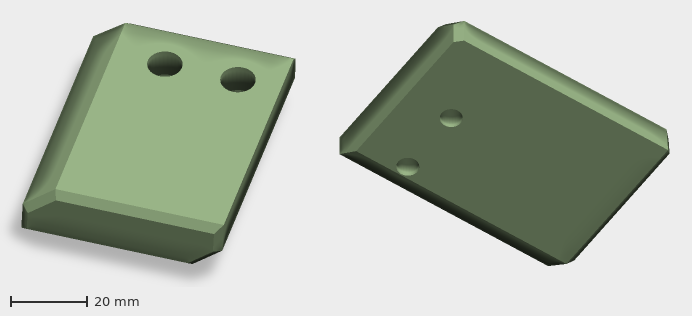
import cadquery as cq
import math

length_x = 55.3
length_y = 69.1
height = 16.5
draft_angle = 2.0
draft_slope = math.tan(math.radians(draft_angle))

left_bevel_z = 8.7
left_bevel_x = 9.2
right_bevel_z = 7.1
right_bevel_x = 46.9

edge_chamfer = 2.0

hole_count = 2
first_hole_x = 23.5
hole_spacing = 20.0
hole_from_back = 14.15
counterbore_diameter = 9.3
counterbore_depth = 8.3
bore_diameter = 6.6

front_y = -draft_slope * edge_chamfer


def bevelled_bar():
    """Bar whose end faces both lean to +X as they rise, with two opposite corners cut."""
    points = [
        (0, 0),
        (right_bevel_x, 0),
        (length_x - draft_slope * (height - right_bevel_z), right_bevel_z),
        (length_x, height),
        (left_bevel_x, height),
        (draft_slope * left_bevel_z, left_bevel_z),
    ]
    profile = cq.Workplane("XZ", origin=(0, front_y, 0)).polyline(points).close()
    return profile.extrude(front_y - length_y)


def depth_envelope():
    """Prism whose front and back faces lean towards each other as they rise."""
    lean = draft_slope * height
    points = [(front_y, 0), (length_y, 0), (length_y - lean, height), (front_y + lean, height)]
    return cq.Workplane("YZ").polyline(points).close().extrude(length_x)


def chamfer_end_edges(block):
    """Chamfer every front edge, and the left, left bevel and top edges of the back face."""
    front_edges = block.faces("<Y").edges().vals()
    back_edges = []
    for edge in block.faces(">Y").edges().vals():
        middle = edge.Center()
        on_bottom = middle.z < edge_chamfer
        on_right_end = middle.x > right_bevel_x
        if not on_bottom and not on_right_end:
            back_edges.append(edge)
    return block.newObject(front_edges + back_edges).chamfer(edge_chamfer)


def tapered_hole(x, top_z, diameter, depth):
    """Round cutter that starts at top_z and narrows downwards."""
    center = (x, length_y - hole_from_back, top_z)
    return cq.Workplane("XY", origin=center).circle(diameter / 2).extrude(-depth, taper=draft_angle)


body = chamfer_end_edges(bevelled_bar().intersect(depth_envelope()))

bore_top_z = height - counterbore_depth
for index in range(hole_count):
    hole_x = first_hole_x + index * hole_spacing
    body = body.cut(tapered_hole(hole_x, height, counterbore_diameter, counterbore_depth))
    body = body.cut(tapered_hole(hole_x, bore_top_z, bore_diameter, bore_top_z))

result = body